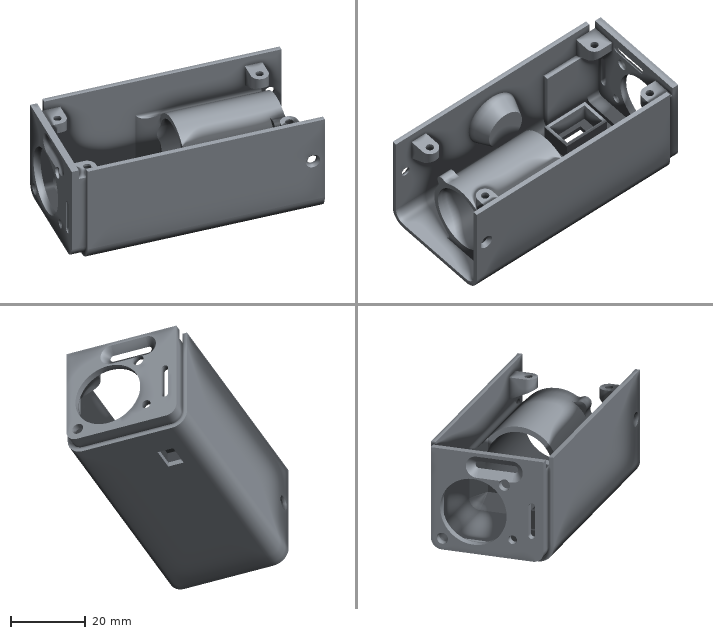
import cadquery as cq
import math

width = 35.0
length = 72.0
height = 30.5
wall = 1.4
outer_radius = 4.5
inner_radius = outer_radius - wall
half_inner = width / 2 - wall

shell_front = 4.0
plate_thickness = 2.0
lining_back = 6.05
lining_thickness = 1.5
lining_top = 27.65

bore_diameter = 19.0
axis_x = -3.95
axis_z = 13.5
screw_hole_diameter = 3.2
screw_circle_radius = 12.5
upper_slot_x = 2.0
upper_slot_z = 26.5
upper_slot_spacing = 10.15
slot_width = 1.95
upper_slot_mouth_width = 6.1
side_slot_x = 12.75
side_slot_z = 13.0
side_slot_length = 10.4
pin_hole_diameter = 2.5
pin_hole_x = 7.3
pin_hole_z = 6.9

tube_radius = 11.0
tube_front = 36.2
tube_back = 66.2
ramp_length = 6.0
support_fillet = 1.0
diagonal_angle = 45
key_radius = 1.8
key_length = 4.1
key_distance = 11.2
key_fillet = 1.8

boss_radius = 2.5
boss_x = 11.5
front_boss_y = 6.1
rear_boss_y = 64.0
boss_tip_height = 3.0
boss_wall_height = 6.4
boss_hole_diameter = 2.2
boss_hole_depth = 3.0

side_hole_y = 68.6
side_hole_z = 17.4
side_hole_diameter = 2.7
countersink_diameter = 4.0

pad_y = 38.2
pad_z = 17.4
pad_height = 5.6
pad_base_diameter = 16.4
pad_top_diameter = 11.6

rib_back = 20.1
rib_top = 21.4

socket_x = 7.4
socket_y = 16.1
socket_width = 9.3
socket_length = 14.2
socket_top = 6.6
socket_rim = 0.9
window_width = 4.5
window_length = 7.05

overrun = 0.35


def along_y(y):
    """Sketch plane at the given Y with sketch axes X, Z; extrusions run toward +Y."""
    return cq.Workplane("XZ", origin=(0, y, 0))


def channel(half_width, bottom, top, radius, y_start, y_end):
    """Solid block with its two lower long edges rounded."""
    return (
        along_y(y_start)
        .moveTo(0, (bottom + top) / 2)
        .rect(2 * half_width, top - bottom)
        .extrude(y_start - y_end)
        .edges("|Y and <Z")
        .fillet(radius)
    )


def rod(x, z, diameter, y_start, y_end):
    return along_y(y_start).center(x, z).circle(diameter / 2).extrude(y_start - y_end)


def box(x0, x1, y0, y1, z0, z1):
    return cq.Workplane("XY").box(x1 - x0, y1 - y0, z1 - z0, centered=False).translate((x0, y0, z0))


cavity = channel(half_inner, wall, 2 * height, inner_radius, -overrun, length + overrun)


def make_shell():
    outer = channel(width / 2, 0, height, outer_radius, shell_front, length)
    return outer.cut(cavity)


def make_front_end():
    lining = channel(half_inner, wall, lining_top, inner_radius, 0, lining_back)
    hollow = channel(
        half_inner - lining_thickness,
        wall + lining_thickness,
        height,
        inner_radius - lining_thickness,
        0,
        lining_back,
    )
    plate = channel(half_inner, wall, height, inner_radius, 0, plate_thickness)
    return lining.cut(hollow).union(plate)


def make_plate_openings():
    openings = rod(axis_x, axis_z, bore_diameter, 0, plate_thickness)
    offset = screw_circle_radius / math.sqrt(2)
    for side in (-1, 1):
        x = axis_x + side * offset
        z = axis_z + side * offset
        openings = openings.union(rod(x, z, screw_hole_diameter, 0, plate_thickness))
    openings = openings.union(rod(pin_hole_x, pin_hole_z, pin_hole_diameter, 0, plate_thickness))
    side_slot = (
        along_y(0).center(side_slot_x, side_slot_z)
        .slot2D(side_slot_length, slot_width, 90).extrude(-plate_thickness)
    )
    upper_slot = (
        along_y(0).center(upper_slot_x, upper_slot_z)
        .slot2D(upper_slot_spacing + upper_slot_mouth_width, upper_slot_mouth_width)
        .workplane(offset=-plate_thickness)
        .slot2D(upper_slot_spacing + slot_width, slot_width)
        .loft(ruled=True)
    )
    return openings.union(side_slot).union(upper_slot)


def make_support():
    """Diagonal block joining the tube to the lower -X corner, with a ramp on its front end."""
    reach = 2 * width
    front = tube_front - ramp_length
    block = (
        along_y(front).center(axis_x, axis_z).transformed(rotate=(0, 0, diagonal_angle))
        .center(-reach / 2, 0).rect(reach, 2 * tube_radius).extrude(front - tube_back)
    )
    flank = tube_radius * math.sqrt(2)
    wall_corner = (-half_inner, axis_z + flank - half_inner - axis_x)
    floor_corner = (axis_x + flank - axis_z + wall, wall)
    setback = support_fillet / math.tan(math.radians(diagonal_angle / 2))
    slant = setback / math.sqrt(2)
    corners = (
        (wall_corner, (0, setback), (support_fillet, setback)),
        (floor_corner, (setback, 0), (setback, support_fillet)),
    )
    for (x, z), straight, centre in corners:
        filler = (
            along_y(front)
            .polyline([
                (x, z),
                (x + straight[0], z + straight[1]),
                (x + centre[0], z + centre[1]),
                (x + slant, z + slant),
            ])
            .close().extrude(front - tube_back)
        )
        round_cut = rod(x + centre[0], z + centre[1], 2 * support_fillet, front, tube_back)
        block = block.union(filler.cut(round_cut))
    block = block.intersect(cavity)

    return block.cut(make_ramp_space(front))


def make_ramp_space(front):
    """Space tapering toward +Y: the inner corner shrinks from its full radius to a sharp edge."""
    corner_x = -half_inner + inner_radius
    corner_z = wall + inner_radius
    beside = (
        cq.Workplane("XY", origin=(0, 0, corner_z))
        .polyline([(-half_inner, front), (corner_x, tube_front), (width, tube_front), (width, front)])
        .close().extrude(height)
    )
    above = (
        cq.Workplane("YZ", origin=(corner_x, 0, 0))
        .polyline([(front, wall), (tube_front, corner_z), (tube_front, height), (front, height)])
        .close().extrude(width)
    )
    apex_direction = cq.Vector(0, 1, 0)
    cone_base = cq.Vector(corner_x, front, corner_z)
    cone = cq.Solid.makeCone(inner_radius, 0, ramp_length, cone_base, apex_direction)
    return beside.union(above).union(cq.Workplane(cone))


def make_key():
    """Rounded key on the upper +X side of the tube, blended into it on both sides."""
    front = tube_back - key_length
    diagonal = math.radians(diagonal_angle)
    key_x = axis_x + key_distance * math.cos(diagonal)
    key_z = axis_z + key_distance * math.sin(diagonal)
    key = rod(key_x, key_z, 2 * key_radius, front, tube_back)
    to_tube = tube_radius + key_fillet
    to_key = key_radius + key_fillet
    swing = math.acos((to_tube**2 + key_distance**2 - to_key**2) / (2 * to_tube * key_distance))
    for angle in (diagonal - swing, diagonal + swing):
        x = axis_x + to_tube * math.cos(angle)
        z = axis_z + to_tube * math.sin(angle)
        filler = (
            along_y(front).polyline([(axis_x, axis_z), (x, z), (key_x, key_z)]).close()
            .extrude(-key_length)
        )
        key = key.union(filler.cut(rod(x, z, 2 * key_fillet, front, tube_back)))
    return key


def make_tube():
    tube = rod(axis_x, axis_z, 2 * tube_radius, tube_front, tube_back)
    bore = rod(axis_x, axis_z, bore_diameter, tube_front - ramp_length, tube_back)
    return tube.union(make_support()).union(make_key()).cut(bore)


def make_boss(side, y, front):
    """Boss on a side wall: round inner end, square from the given front Y, underside sloping to the wall."""
    tip = boss_x - boss_radius
    back = y + boss_radius
    footprint = box(boss_x, half_inner, front, back, 0, height)
    round_end = cq.Workplane("XY", origin=(boss_x, y, 0)).circle(boss_radius).extrude(height)
    footprint = footprint.union(round_end)
    if front < y - boss_radius:
        footprint = footprint.union(box(tip, half_inner, front, y, 0, height))
    side_profile = (
        along_y(front)
        .polyline([
            (tip, lining_top),
            (half_inner, lining_top),
            (half_inner, lining_top - boss_wall_height),
            (tip, lining_top - boss_tip_height),
        ])
        .close().extrude(front - back)
    )
    boss = footprint.intersect(side_profile)
    return boss if side > 0 else boss.mirror("YZ")


def make_boss_hole(side, y):
    return (
        cq.Workplane("XY", origin=(boss_x * side, y, lining_top))
        .circle(boss_hole_diameter / 2).extrude(-boss_hole_depth)
    )


def make_side_hole(side):
    """Through hole in one side wall, countersunk from outside."""
    plane = cq.Plane(origin=(side * width / 2, side_hole_y, side_hole_z), normal=(side, 0, 0))
    hole = cq.Workplane(plane).circle(side_hole_diameter / 2).extrude(-wall)
    depth = (countersink_diameter - side_hole_diameter) / 2
    sink = (
        cq.Workplane(plane).circle(countersink_diameter / 2)
        .workplane(offset=-depth).circle(side_hole_diameter / 2).loft()
    )
    return hole.union(sink)


def make_pad():
    return (
        cq.Workplane("YZ", origin=(half_inner, pad_y, pad_z)).circle(pad_base_diameter / 2)
        .workplane(offset=-pad_height).circle(pad_top_diameter / 2).loft()
    )


def make_rib():
    rib = box(half_inner - lining_thickness, half_inner, plate_thickness, rib_back, wall, rib_top)
    return rib.intersect(cavity)


def centred_box(size_x, size_y, z0, z1):
    """Block centred on the socket."""
    return box(
        socket_x - size_x / 2, socket_x + size_x / 2,
        socket_y - size_y / 2, socket_y + size_y / 2, z0, z1,
    )


def make_socket():
    pocket = centred_box(socket_width - 2 * socket_rim, socket_length - 2 * socket_rim, wall, socket_top)
    return centred_box(socket_width, socket_length, wall, socket_top).cut(pocket)


result = make_shell().union(make_front_end()).union(make_tube())
for side in (-1, 1):
    result = result.union(make_boss(side, front_boss_y, plate_thickness))
    result = result.union(make_boss(side, rear_boss_y, rear_boss_y - boss_radius))
result = result.union(make_pad()).union(make_rib()).union(make_socket())

result = result.cut(make_plate_openings())
result = result.cut(centred_box(window_width, window_length, 0, wall))
for side in (-1, 1):
    for y in (front_boss_y, rear_boss_y):
        result = result.cut(make_boss_hole(side, y))
    result = result.cut(make_side_hole(side))